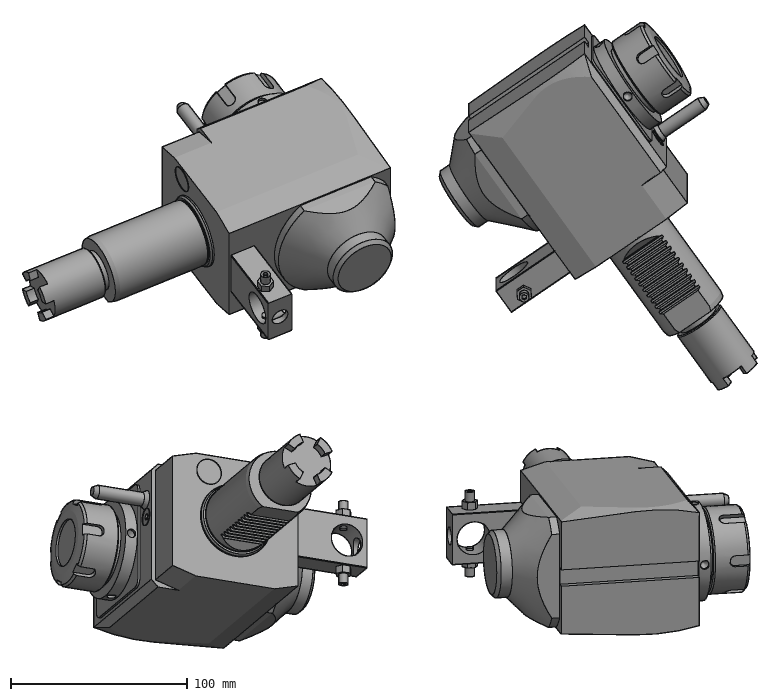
import cadquery as cq
import math


body_back = 105.0
body_height = 75.0
body_half_height = body_height / 2
body_half_width = 38.8
side_half_height = 33.4
wide_bevel_run = 14.5
spindle_side_x = -41.3
step_y = 24.1
spindle_y = 69.3
back_slot_depth = 4.0
back_slot_half = 4.8

relief_slope = 0.25
relief_peak_x = -13.0
relief_peak_z = 36.7
relief_radius = 121.7
relief_tangent_x = -3.8
relief_length = 25.2
relief_top = 52.5
relief_overrun = 4.2

plug_x = -16.2
plug_z = 27.5
plug_radius = 7.5
inset = 0.5
cut_clearance = 2.0

flange_radius = 21.6
flange_length = 2.3
flange_chamfer_start = -1.0
flange_edge_radius = 20.8
relief_groove_radius = 19.5
relief_groove_end = -3.1
shank_radius = 20.0
shank_end = -63.0
shank_chamfer_length = 3.0
shank_chamfer = 0.6
neck_radius = 12.0
drive_start = -66.5
drive_diameter = 30.0
drive_radius = drive_diameter / 2
drive_end = -99.7
drive_chamfer = 0.6
claw_inner_radius = 10.0
claw_half_angle = 20.0
claw_end = -105.0

rack_flat_z = -16.0
rack_flat_start = -9.9
rack_run_in = 4.2
rack_pitch = 4.0
rack_teeth = 10
rack_first = -11.5
rack_depth = 1.5
rack_half_mouth = 1.36
rack_half_root = 0.6

cover_x = -42.5
cover_half_width = 29.0
cover_half_height = 31.3
cover_corner = 4.2
collar_x = -49.7
collar_radius = 28.3
collar_hole_x = -46.2
collar_hole_radius = 2.5
collar_hole_depth = 1.7
spindle_neck_radius = 21.5
nut_back_x = -52.3
nut_radius = 25.0
nut_front_x = -74.5
nut_rim_x = -73.5
nut_rim_radius = 24.0
nut_shoulder_x = -72.0
nut_back_chamfer = 0.8
nut_face_radius = 18.3
nut_bore_radius = 13.6
nut_bore_depth = 1.3
nut_slot_width = 6.5
nut_long_slot_end_x = -58.1
nut_short_slot_end_x = -61.7
nut_slot_depth = 2.7
nut_slot_corner = 3.1

pin_y = 32.1
pin_z = 17.8
pin_radius = 4.0
pin_tip_length = 3.0
pin_tip_radius = 2.5
pin_foot_radius = 5.5
pin_foot_length = 2.5
screw_z = 7.5
screw_radius = 5.0
screw_hex = 3.8
screw_hex_depth = 1.7

cap_base_radius = 39.9
cap_cone_x = 43.5
cap_nose_x = 63.5
cap_nose_radius = 19.3
cap_end_x = 72.2
cap_chamfer = 2.0
cap_back_y = 100.5
cap_flat_z = 32.5
cap_flat_angle = 15.0

arm_end_x = 82.0
arm_y_min = 1.0
arm_y_max = 16.5
arm_height = 30.0
arm_half_height = arm_height / 2
arm_hole_x = 69.7
arm_hole_radius = 9.7
arm_chamfer = 0.5
arm_end_hole_radius = 5.0
stud_y = 6.3
stud_radius = 2.7
stud_tip_radius = 2.0
stud_tip_z = 8.4
stud_end_z = 25.0
stud_socket = 3.0
stud_socket_depth = 2.0
nut_hex = 9.2
nut_hex_top = 19.3


def turned_about_x(points, axis_y=spindle_y, axis_z=0.0):
    """Revolve (x, radius) points about a line parallel to X."""
    solid = cq.Workplane("XY").polyline(points).close().revolve(360, (0, 0, 0), (1, 0, 0))
    return solid.translate((0, axis_y, axis_z))


def box(x_min, x_max, y_min, y_max, z_min, z_max):
    """Axis-aligned block between the given limits."""
    start = cq.Workplane("XY", origin=(x_min, y_min, z_min))
    return start.box(x_max - x_min, y_max - y_min, z_max - z_min, centered=False)


def both_sides(solid):
    """Return the solid together with its mirror image in the plane Z = 0."""
    return solid.union(solid.mirror("XY"))


def housing_block(left_x, left_bevel_run, y_min, y_max):
    """Prism along Y with bevelled corners; only the left bevels differ between the two blocks."""
    outline = [
        (left_x, side_half_height),
        (left_x + left_bevel_run, body_half_height),
        (body_half_width - wide_bevel_run, body_half_height),
        (body_half_width, side_half_height),
    ]
    outline += [(x, -z) for x, z in reversed(outline)]
    prism = cq.Workplane("XZ").polyline(outline).close().extrude(y_min - y_max)
    return prism.translate((0, y_min, 0))


def back_relief():
    """Cutter for the top back edge: an arc with a tangent line, rising towards the front."""
    def arc_z(x):
        drop = relief_radius - math.sqrt(relief_radius ** 2 - (x - relief_peak_x) ** 2)
        return relief_peak_z - drop

    left_x = spindle_side_x - relief_overrun
    right_x = body_half_width + relief_overrun
    offset = relief_tangent_x - relief_peak_x
    tangent_slope = offset / math.sqrt(relief_radius ** 2 - offset ** 2)
    tangent_z = arc_z(relief_tangent_x)
    right_z = tangent_z - tangent_slope * (right_x - relief_tangent_x)

    def section(plane, rise):
        return (
            plane.moveTo(left_x, arc_z(left_x) + rise)
            .threePointArc((relief_peak_x, relief_peak_z + rise), (relief_tangent_x, tangent_z + rise))
            .lineTo(right_x, right_z + rise)
            .lineTo(right_x, relief_top)
            .lineTo(left_x, relief_top)
            .close()
        )

    at_back = section(cq.Workplane("XZ", origin=(0, body_back, 0)), 0)
    to_front = section(at_back.workplane(offset=relief_length), relief_slope * relief_length)
    return to_front.loft(ruled=True)


def housing():
    spindle_bevel = body_half_height - side_half_height
    body = housing_block(-body_half_width, wide_bevel_run, 0, step_y)
    body = body.union(housing_block(spindle_side_x, spindle_bevel, step_y, body_back))
    body = body.cut(both_sides(back_relief()))
    slot = box(spindle_side_x, body_half_width, body_back - back_slot_depth, body_back,
               -back_slot_half, back_slot_half)
    plug = cq.Workplane("XZ").center(plug_x, plug_z).circle(plug_radius).extrude(-inset)
    return body.cut(slot).cut(plug)


def rack_cutter():
    """Flat under the shank with a sloped run-in and a row of tapered grooves."""
    below = -shank_radius - cut_clearance
    run_in_z = rack_flat_z - rack_run_in
    flat = [
        (rack_flat_start + rack_run_in, run_in_z),
        (rack_flat_start, rack_flat_z),
        (shank_end, rack_flat_z),
        (shank_end, below),
        (rack_flat_start + rack_run_in, below),
    ]
    cutter = cq.Workplane("YZ").polyline(flat).close().extrude(shank_radius, both=True)
    for i in range(rack_teeth):
        y = rack_first - i * rack_pitch
        groove = [
            (y - rack_half_mouth, rack_flat_z),
            (y - rack_half_root, rack_flat_z + rack_depth),
            (y + rack_half_root, rack_flat_z + rack_depth),
            (y + rack_half_mouth, rack_flat_z),
        ]
        cutter = cutter.union(cq.Workplane("YZ").polyline(groove).close().extrude(shank_radius, both=True))
    return cutter


def drive_claws():
    """Four ring-sector claws at 45 degrees between the X and Z axes."""
    ring = cq.Workplane("XZ", origin=(0, drive_end, 0)).circle(drive_radius).circle(claw_inner_radius)
    ring = ring.extrude(drive_end - claw_end)
    reach = 2 * drive_radius
    spread = reach * math.tan(math.radians(claw_half_angle))
    wedge = [(0, 0), (reach, spread), (reach, -spread)]
    sectors = cq.Workplane("XY")
    for angle in (45, 135, 225, 315):
        sector = cq.Workplane("XZ", origin=(0, drive_end, 0)).polyline(wedge).close()
        sectors = sectors.add(sector.extrude(drive_end - claw_end).rotate((0, 0, 0), (0, 1, 0), angle))
    return ring.intersect(sectors.combine())


def shank():
    profile = [
        (0, 0),
        (flange_radius, 0),
        (flange_radius, flange_chamfer_start),
        (flange_edge_radius, -flange_length),
        (relief_groove_radius, -flange_length),
        (relief_groove_radius, relief_groove_end),
        (shank_radius, relief_groove_end),
        (shank_radius, shank_end + shank_chamfer_length),
        (shank_radius - shank_chamfer, shank_end),
        (neck_radius, shank_end),
        (neck_radius, drive_start),
        (drive_radius - drive_chamfer, drive_start),
        (drive_radius, drive_start - drive_chamfer),
        (drive_radius, drive_end),
        (0, drive_end),
    ]
    turned = cq.Workplane("XY").polyline(profile).close().revolve(360, (0, 0, 0), (0, 1, 0))
    return turned.cut(rack_cutter()).union(drive_claws())


def nut_slot(end_x):
    """Cutter for a wrench slot in the top of the collet nut, open at the front."""
    half_width = nut_slot_width / 2
    slot = box(nut_front_x, end_x, spindle_y - half_width, spindle_y + half_width,
               nut_radius - nut_slot_depth, nut_radius + cut_clearance)
    return slot.edges("|Z and >X").fillet(nut_slot_corner)


def spindle_nose():
    cover = box(cover_x, spindle_side_x, spindle_y - cover_half_width, spindle_y + cover_half_width,
                -cover_half_height, cover_half_height)
    cover = cover.edges("|X").fillet(cover_corner)
    profile = [
        (cover_x, 0),
        (cover_x, collar_radius),
        (collar_x, collar_radius),
        (collar_x, spindle_neck_radius),
        (nut_back_x, spindle_neck_radius),
        (nut_back_x, nut_radius - nut_back_chamfer),
        (nut_back_x - nut_back_chamfer, nut_radius),
        (nut_shoulder_x, nut_radius),
        (nut_rim_x, nut_rim_radius),
        (nut_front_x, nut_face_radius),
        (nut_front_x, nut_bore_radius),
        (nut_front_x + nut_bore_depth, nut_bore_radius),
        (nut_front_x + nut_bore_depth, 0),
    ]
    nose = turned_about_x(profile)

    axis_start = (0, spindle_y, 0)
    axis_end = (1, spindle_y, 0)
    long_slot = nut_slot(nut_long_slot_end_x)
    short_slot = nut_slot(nut_short_slot_end_x)
    for angle in (-30, 30):
        nose = nose.cut(long_slot.rotate(axis_start, axis_end, angle))
    for angle in (90, 150, 210, 270):
        nose = nose.cut(short_slot.rotate(axis_start, axis_end, angle))

    hole = cq.Workplane("XY", origin=(collar_hole_x, spindle_y, collar_radius - collar_hole_depth))
    hole = hole.circle(collar_hole_radius).extrude(collar_hole_depth + cut_clearance)
    tip = cq.Solid.makeCone(0, collar_hole_radius, collar_hole_radius)
    tip_z = collar_radius - collar_hole_depth - collar_hole_radius
    hole = hole.union(cq.Workplane(tip).translate((collar_hole_x, spindle_y, tip_z)))
    for angle in (0, 90, 180, 270):
        nose = nose.cut(hole.rotate(axis_start, axis_end, angle))
    return cover.union(nose)


def coolant_pin():
    profile = [
        (spindle_side_x, 0),
        (spindle_side_x, pin_foot_radius),
        (spindle_side_x - pin_foot_length, pin_radius),
        (nut_front_x + pin_tip_length, pin_radius),
        (nut_front_x, pin_tip_radius),
        (nut_front_x, 0),
    ]
    return turned_about_x(profile, pin_y, pin_z)


def screw_recess():
    """Shallow disc with a hexagon socket, sunk into the spindle face."""
    face = cq.Workplane("YZ", origin=(spindle_side_x, pin_y, screw_z))
    return face.circle(screw_radius).extrude(inset).union(face.polygon(6, screw_hex).extrude(screw_hex_depth))


def end_cap():
    profile = [
        (body_half_width, 0),
        (body_half_width, cap_base_radius),
        (cap_cone_x, cap_base_radius),
        (cap_nose_x, cap_nose_radius),
        (cap_end_x - cap_chamfer, cap_nose_radius),
        (cap_end_x, cap_nose_radius - cap_chamfer),
        (cap_end_x, 0),
    ]
    flat_drop = (cap_end_x - cap_cone_x) * math.tan(math.radians(cap_flat_angle))
    limit = [
        (body_half_width, cap_flat_z),
        (cap_cone_x, cap_flat_z),
        (cap_end_x, cap_flat_z - flat_drop),
    ]
    limit += [(x, -z) for x, z in reversed(limit)]
    envelope = cq.Workplane("XZ", origin=(0, cap_back_y, 0)).polyline(limit).close()
    return turned_about_x(profile).intersect(envelope.extrude(cap_back_y))


def locating_arm():
    arm = box(body_half_width, arm_end_x, arm_y_min, arm_y_max, -arm_half_height, arm_half_height)
    arm = arm.edges("|X").chamfer(arm_chamfer)
    hole = cq.Workplane("XZ").center(arm_hole_x, 0).circle(arm_hole_radius).extrude(-arm_y_max)
    end_hole = cq.Workplane("YZ", origin=(arm_hole_x, (arm_y_min + arm_y_max) / 2, 0))
    end_hole = end_hole.circle(arm_end_hole_radius).extrude(arm_end_x - arm_hole_x)

    stud = cq.Workplane("XY", origin=(arm_hole_x, stud_y, stud_tip_z)).circle(stud_tip_radius)
    stud = stud.extrude(arm_half_height - stud_tip_z)
    arm_top = cq.Workplane("XY", origin=(arm_hole_x, stud_y, arm_half_height))
    stud = stud.union(arm_top.circle(stud_radius).extrude(stud_end_z - arm_half_height))
    stud = stud.union(arm_top.polygon(6, nut_hex).extrude(nut_hex_top - arm_half_height))
    stud = stud.faces(">Z").workplane().polygon(6, stud_socket).cutBlind(-stud_socket_depth)
    return arm.cut(hole).cut(end_hole).union(both_sides(stud))


result = (
    housing()
    .cut(screw_recess())
    .union(shank())
    .union(spindle_nose())
    .union(coolant_pin())
    .union(end_cap())
    .union(locating_arm())
)